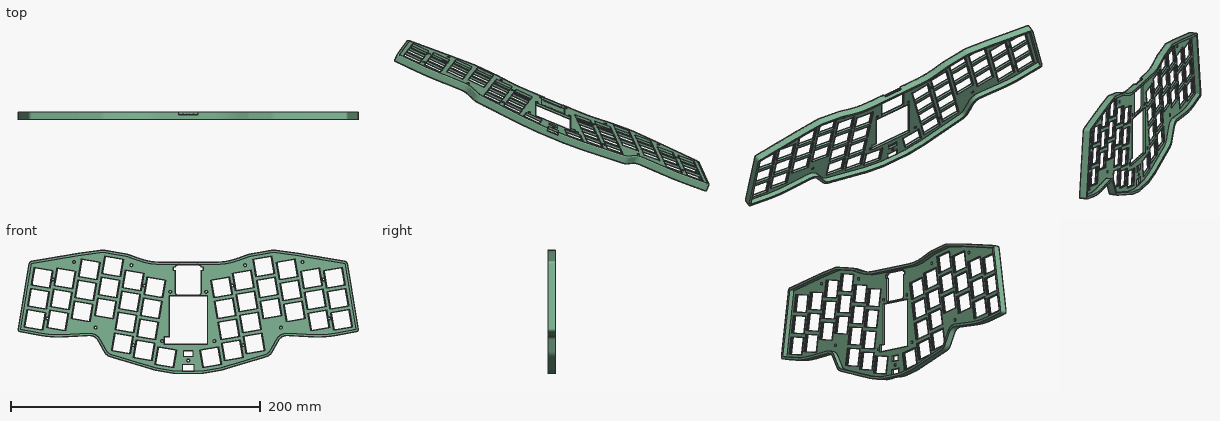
import cadquery as cq
import math


THICKNESS = 6.19
BACK_Y = THICKNESS / 2
PLATE_THICKNESS = 2.0
PLATE_FRONT_Y = BACK_Y - PLATE_THICKNESS
RIM_WIDTH = 1.9
RIM_FILLET = 0.8

HALF_OUTLINE = [
    (-30.9, 39.8, 47.0),
    (-48.5, 46.1, 10.0),
    (-68.2, 49.55, 10.0),
    (-87.2, 47.0, 0.0),
    (-127.25, 40.25, 3.0),
    (-136.46, -15.6, 2.0),
    (-109.5, -20.65, 80.0),
    (-74.6, -18.85, 7.5),
    (-65.5, -35.1, 8.7),
    (-26.3, -46.8, 0.0),
    (-11.3, -49.4, 0.0),
]
BOTTOM_Z = HALF_OUTLINE[-1][1]

TILT = math.radians(9.7)
ACROSS = (math.cos(TILT), -math.sin(TILT))
UP = (math.sin(TILT), math.cos(TILT))
COLUMN_PITCH = 18.05
ROW_PITCH = 17.05
FIRST_KEY = (-116.96, 27.18)
COLUMNS = [(0.0, 3), (2.6, 3), (10.4, 3), (5.5, 3), (-8.3, 4), (-2.5, 4)]
THUMB_RISE = -2.5
KEY_SIZE = 14.0
CLIP_POCKET_WIDTH = 15.6
CLIP_POCKET_DEPTH = 0.8

SCREW_DIAMETER = 2.1
SCREW_HOLES = [(-91.5, 39.8), (-45.5, 37.3), (-14.4, 16.0), (-20.9, -23.4), (-74.2, -12.7)]
MIDDLE_SCREW_Z = -39.0
SEAM_HOLE_DIAMETER = 2.05
SEAM_HOLES = [(-108.3, 25.8), (-112.8, -5.3), (-35.3, 20.9), (-43.9, -26.7)]

DISPLAY_WINDOW = (-10.25, 10.25, 13.6, 37.3)
DISPLAY_CORNER_RADIUS = 1.5
DISPLAY_NOTCH = (10.25, 11.9, 33.1, 35.8)
DISPLAY_NOTCH_RADIUS = 0.6
BOARD_WINDOW = (-15.2, 15.3, -25.8, 12.7)
BOARD_WINDOW_TAB = (-19.2, BOARD_WINDOW[0], BOARD_WINDOW[2], -20.1)
SMALL_WINDOW = (-3.7, 3.7, -35.7, -31.2)

CABLE_SLOT = (-4.5, 4.5, BOTTOM_Z - 1.0, -42.2)

NOTCH_BACK_WIDTH = 16.0
NOTCH_FLOOR_WIDTH = 14.6
NOTCH_DEPTH = 2.6
RIM_TOP_Z = HALF_OUTLINE[0][1]


def facing_front(y):
    """Workplane facing -Y at depth y, with local x along X and local y along Z."""
    return cq.Workplane("XZ", origin=(0, y, 0))


def mirrored_points(points):
    """The points together with their mirror images across the middle."""
    return points + [(-x, z) for x, z in points]


def rounded_outline(plane, corners):
    """Closed outline through (x, z, radius) corners, each rounded by a tangent arc."""
    wire = plane
    for i, (x, z, radius) in enumerate(corners):
        previous_x, previous_z, _ = corners[i - 1]
        next_x, next_z, _ = corners[(i + 1) % len(corners)]
        corner = cq.Vector(x, z)
        to_previous = cq.Vector(previous_x - x, previous_z - z).normalized()
        to_next = cq.Vector(next_x - x, next_z - z).normalized()
        half_angle = to_previous.getAngle(to_next) / 2
        tangent_length = radius / math.tan(half_angle)
        arc_start = corner + to_previous * tangent_length
        arc_end = corner + to_next * tangent_length
        if i == 0:
            wire = wire.moveTo(arc_start.x, arc_start.y)
        else:
            wire = wire.lineTo(arc_start.x, arc_start.y)
        if radius > 0:
            bisector = (to_previous + to_next).normalized()
            arc_middle = corner + bisector * (radius / math.sin(half_angle) - radius)
            wire = wire.threePointArc((arc_middle.x, arc_middle.y), (arc_end.x, arc_end.y))
    return wire.close()


def case_outline():
    """Outer outline of the whole case, on the back face."""
    right_half = [(-x, z, radius) for x, z, radius in reversed(HALF_OUTLINE)]
    return rounded_outline(facing_front(BACK_Y), HALF_OUTLINE + right_half)


def inner_outline():
    """Inside of the rim, which is also the edge of the plate."""
    return case_outline().offset2D(-RIM_WIDTH)


def window(bounds):
    """Rectangular cutter through the plate's thickness."""
    x_min, x_max, z_min, z_max = bounds
    plane = facing_front(BACK_Y).center((x_min + x_max) / 2, (z_min + z_max) / 2)
    return plane.rect(x_max - x_min, z_max - z_min).extrude(PLATE_THICKNESS)


def step_from(start, columns, rise):
    """Point a number of columns across and a rise along the tilted key grid."""
    x, z = start
    across = columns * COLUMN_PITCH
    return (x + across * ACROSS[0] + rise * UP[0], z + across * ACROSS[1] + rise * UP[1])


def left_key_centers():
    centers = []
    column_top = step_from(FIRST_KEY, -1, 0)
    for rise, rows in COLUMNS:
        column_top = step_from(column_top, 1, rise)
        for row in range(rows):
            centers.append(step_from(column_top, 0, -row * ROW_PITCH))
    centers.append(step_from(centers[-1], 1, THUMB_RISE))
    return centers


def key_cutter():
    """Square switch opening with a wider clip pocket on the plate's front side."""
    opening = facing_front(BACK_Y).rect(KEY_SIZE, KEY_SIZE).extrude(PLATE_THICKNESS)
    pocket_floor = facing_front(PLATE_FRONT_Y + CLIP_POCKET_DEPTH)
    pocket = pocket_floor.rect(CLIP_POCKET_WIDTH, KEY_SIZE).extrude(CLIP_POCKET_DEPTH)
    return opening.union(pocket)


def cut_keys(plate):
    cutter = key_cutter()
    for side in (1, -1):
        tilted = cutter.rotate((0, 0, 0), (0, 1, 0), side * math.degrees(TILT))
        for x, z in left_key_centers():
            plate = plate.cut(tilted.translate((side * x, 0, z)))
    return plate


def cut_round_holes(plate, points, diameter):
    holes = facing_front(BACK_Y).pushPoints(points).circle(diameter / 2).extrude(PLATE_THICKNESS)
    return plate.cut(holes)


def cut_windows(plate):
    plate = plate.cut(window(DISPLAY_WINDOW).edges("|Y").fillet(DISPLAY_CORNER_RADIUS))
    notch = window(DISPLAY_NOTCH).edges("|Y and >X").fillet(DISPLAY_NOTCH_RADIUS)
    plate = plate.cut(notch).cut(notch.mirror("YZ"))
    for bounds in (BOARD_WINDOW, BOARD_WINDOW_TAB, SMALL_WINDOW, CABLE_SLOT):
        plate = plate.cut(window(bounds))
    return plate


def top_notch():
    """Tapered cutter across the top wall of the rim, open to the back."""
    half_back = NOTCH_BACK_WIDTH / 2
    half_floor = NOTCH_FLOOR_WIDTH / 2
    profile = [(-half_back, 0), (half_back, 0), (half_floor, -NOTCH_DEPTH), (-half_floor, -NOTCH_DEPTH)]
    below_wall = cq.Workplane("XY", origin=(0, BACK_Y, RIM_TOP_Z - 2 * RIM_WIDTH))
    return below_wall.polyline(profile).close().extrude(3 * RIM_WIDTH)


def make_rim():
    rim = case_outline().extrude(THICKNESS).faces(">Y").fillet(RIM_FILLET)
    rim = rim.cut(inner_outline().extrude(THICKNESS))
    return rim.cut(top_notch()).cut(window(CABLE_SLOT))


def make_plate():
    plate = inner_outline().extrude(PLATE_THICKNESS)
    plate = cut_keys(plate)
    screw_points = mirrored_points(SCREW_HOLES) + [(0, MIDDLE_SCREW_Z)]
    plate = cut_round_holes(plate, screw_points, SCREW_DIAMETER)
    plate = cut_round_holes(plate, mirrored_points(SEAM_HOLES), SEAM_HOLE_DIAMETER)
    return cut_windows(plate)


rim = make_rim()
plate = make_plate()
result = cq.Compound.makeCompound([rim.solids().val(), plate.solids().val()])